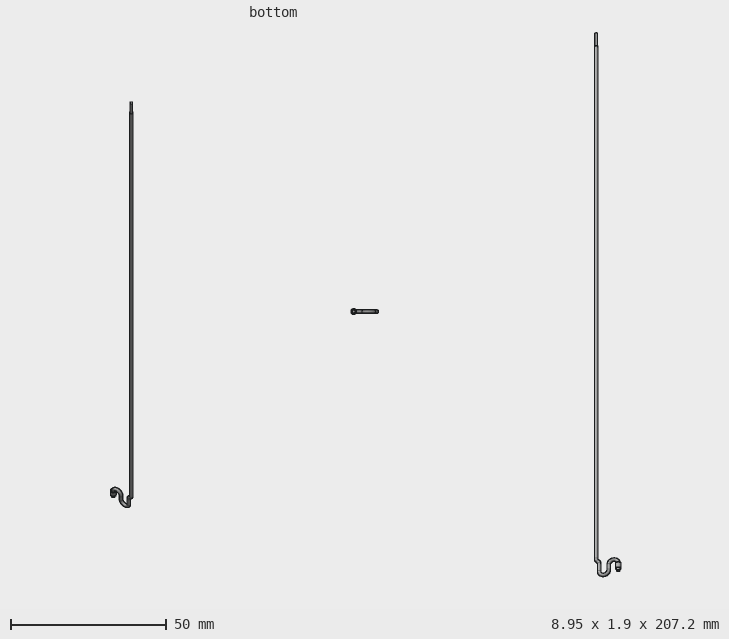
import cadquery as cq
import math

wire_diameter = 1.2
pin_diameter = 0.9
collar_diameter = 1.9
overall_width = 8.95
overall_height = 207.2

pin_length = 5.0
collar_length = 2.0
tip_length = 1.0
tip_chamfer = 0.15
loop_radius = 1.6
middle_leg_length = 2.0
lower_leg_length = 3.0
bend_angle = 55.0

wire_radius = wire_diameter / 2
collar_radius = collar_diameter / 2

shaft_x = overall_width / 2 - wire_radius
hook_end_x = collar_radius - overall_width / 2
middle_leg_x = hook_end_x + 2 * loop_radius
lower_leg_x = middle_leg_x + 2 * loop_radius

top_z = overall_height / 2
shoulder_z = top_z - pin_length
lower_loop_z = -overall_height / 2 + wire_radius + loop_radius
upper_loop_z = lower_loop_z + middle_leg_length
bend_bottom_z = lower_loop_z + lower_leg_length

bend_offset = shaft_x - lower_leg_x
bend_radius = bend_offset / (2 * (1 - math.cos(math.radians(bend_angle))))
bend_height = 2 * bend_radius * math.sin(math.radians(bend_angle))
bend_middle = (lower_leg_x + bend_offset / 2, bend_bottom_z + bend_height / 2)
bend_top_z = bend_bottom_z + bend_height

collar_top_z = upper_loop_z
collar_bottom_z = collar_top_z - collar_length
tip_z = collar_bottom_z - tip_length


def make_wire():
    """Long shaft with a thin pin on top and an S-shaped hook with a chamfered tip below."""
    centreline = (
        cq.Workplane("XZ")
        .moveTo(shaft_x, shoulder_z)
        .lineTo(shaft_x, bend_top_z)
        .tangentArcPoint(bend_middle, relative=False)
        .tangentArcPoint((lower_leg_x, bend_bottom_z), relative=False)
        .lineTo(lower_leg_x, lower_loop_z)
        .tangentArcPoint((middle_leg_x, lower_loop_z), relative=False)
        .lineTo(middle_leg_x, upper_loop_z)
        .tangentArcPoint((hook_end_x, upper_loop_z), relative=False)
        .lineTo(hook_end_x, tip_z)
    )
    wire = (
        cq.Workplane("XY", origin=(shaft_x, 0, shoulder_z))
        .circle(wire_radius)
        .sweep(centreline)
        .faces(cq.NearestToPointSelector((hook_end_x, 0, tip_z)))
        .chamfer(tip_chamfer)
    )
    pin = (
        cq.Workplane("XY", origin=(shaft_x, 0, shoulder_z))
        .circle(pin_diameter / 2)
        .extrude(pin_length)
    )
    return wire.union(pin)


def make_collar():
    """Plain ring around the free end of the hook."""
    return (
        cq.Workplane("XY", origin=(hook_end_x, 0, collar_bottom_z))
        .circle(collar_radius)
        .circle(wire_radius)
        .extrude(collar_length)
    )


wire = make_wire()
collar = make_collar()

result = cq.Compound.makeCompound([wire.val(), collar.val()])